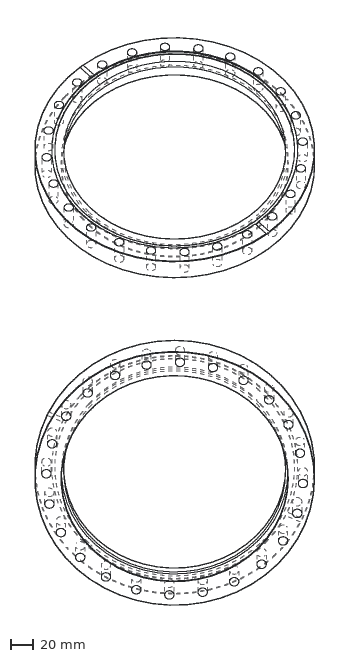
import cadquery as cq
import math

OUTER_DIAMETER = 253.0
THICKNESS = 25.0
RIM_CHAMFER = 0.5

BORE_DIAMETER = 200.5
SOCKET_DIAMETER = 204.5
SOCKET_CHAMFER = 0.5
SOCKET_DEPTH = 15.5

RECESS_DIAMETER = 222.3
KNIFE_DIAMETER = 216.9
KNIFE_DEPTH = 0.5
KNIFE_SLOPE = 20.0
KNIFE_INNER_RUN = 0.2
SEAT_DEPTH = 1.0

BOLT_COUNT = 24
BOLT_CIRCLE_DIAMETER = 232.0
BOLT_HOLE_DIAMETER = 8.4

GROOVE_WIDTH = 3.8
GROOVE_DEPTH = 0.8
GROOVE_OVERLAP = 0.5


def make_ring():
    """Revolve the radial cross-section, including bore, socket and knife edge."""
    outer_radius = OUTER_DIAMETER / 2
    bore_radius = BORE_DIAMETER / 2
    socket_radius = SOCKET_DIAMETER / 2
    recess_radius = RECESS_DIAMETER / 2
    knife_radius = KNIFE_DIAMETER / 2
    knife_tip = THICKNESS - KNIFE_DEPTH
    slope_drop = (recess_radius - knife_radius) * math.tan(math.radians(KNIFE_SLOPE))
    seat = THICKNESS - SEAT_DEPTH
    return (
        cq.Workplane("XZ")
        .moveTo(socket_radius + SOCKET_CHAMFER, 0)
        .lineTo(outer_radius - RIM_CHAMFER, 0)
        .lineTo(outer_radius, RIM_CHAMFER)
        .lineTo(outer_radius, THICKNESS - RIM_CHAMFER)
        .lineTo(outer_radius - RIM_CHAMFER, THICKNESS)
        .lineTo(recess_radius, THICKNESS)
        .lineTo(recess_radius, knife_tip - slope_drop)
        .lineTo(knife_radius, knife_tip)
        .lineTo(knife_radius - KNIFE_INNER_RUN, seat)
        .lineTo(bore_radius, seat)
        .lineTo(bore_radius, SOCKET_DEPTH)
        .lineTo(socket_radius, SOCKET_DEPTH)
        .lineTo(socket_radius, SOCKET_CHAMFER)
        .close()
        .revolve(360, (0, 0, 0), (0, 1, 0))
    )


def make_bolt_holes():
    """Through holes, offset half a pitch from the X axis."""
    pitch_angle = 360 / BOLT_COUNT
    return (
        cq.Workplane("XY")
        .polarArray(BOLT_CIRCLE_DIAMETER / 2, pitch_angle / 2, 360, BOLT_COUNT)
        .circle(BOLT_HOLE_DIAMETER / 2)
        .extrude(THICKNESS)
    )


def make_leak_groove(side):
    """Cylindrical cutter from the recess to the rim; side is +1 or -1 along X."""
    half_width = GROOVE_WIDTH / 2
    cutter_radius = (half_width**2 + GROOVE_DEPTH**2) / (2 * GROOVE_DEPTH)
    axis_height = THICKNESS - GROOVE_DEPTH + cutter_radius
    start = RECESS_DIAMETER / 2 - GROOVE_OVERLAP
    return (
        cq.Workplane("YZ", origin=(side * start, 0, 0))
        .center(0, axis_height)
        .circle(cutter_radius)
        .extrude(side * (OUTER_DIAMETER / 2 - start))
    )


result = make_ring().cut(make_bolt_holes())
for side in (-1, 1):
    result = result.cut(make_leak_groove(side))